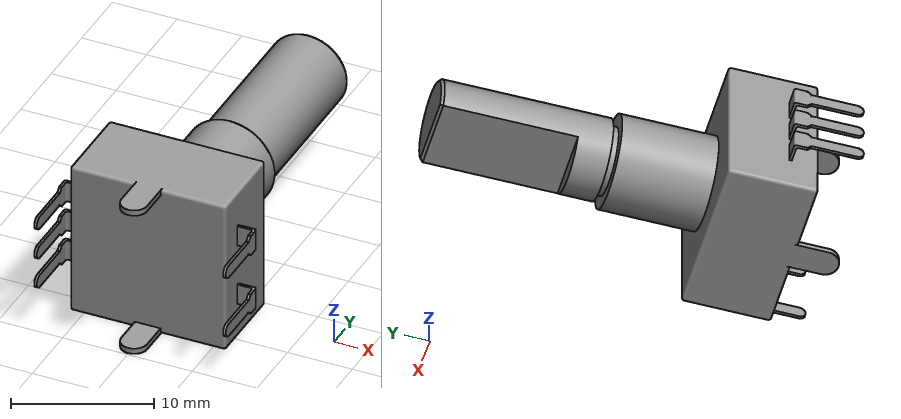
import cadquery as cq


TOTAL_LENGTH = 29.7

CASE_SIDE = 12.0
CASE_DEPTH = 6.5
CASE_EDGE_RADIUS = 0.25
BUSHING_DIAMETER = 6.9
BUSHING_LENGTH = 7.0

TAB_LENGTH = 3.2
TAB_WIDTH = 2.0
TAB_THICKNESS = 0.45

TERMINAL_SPAN = 14.8
TERMINAL_SHEET = 0.2
TERMINAL_INNER_RADIUS = 0.15
TERMINAL_OUTER_RADIUS = 0.15
TERMINAL_PITCH = 2.45
TERMINAL_TOP = 2.15
TERMINAL_TIP = -2.9
TERMINAL_HEAD_WIDTH = 1.6
TERMINAL_HEAD_LENGTH = 0.95
TERMINAL_LEG_WIDTH = 1.0

SHAFT_DIAMETER = 6.0
SHAFT_CHAMFER = 0.2
NECK_DIAMETER = 5.0
NECK_LENGTH = 0.5
FLAT_LENGTH = 10.0
FLAT_THICKNESS = 4.5

bushing_end = CASE_DEPTH + BUSHING_LENGTH
neck_end = bushing_end + NECK_LENGTH
shaft_end = TOTAL_LENGTH - TAB_LENGTH


def cylinder_along_y(diameter, start, end):
    """Round bar on the Y axis between two Y positions."""
    return cq.Workplane("XZ", origin=(0, start, 0)).circle(diameter / 2).extrude(start - end)


def make_case():
    """Square case with rounded edges."""
    case = cq.Workplane("XY").box(CASE_SIDE, CASE_DEPTH, CASE_SIDE, centered=(True, False, True))
    return case.edges().fillet(CASE_EDGE_RADIUS)


def make_tab(bottom):
    """Flat tab with a full-round tip, running from inside the case to beyond its mounting face."""
    round_start = TAB_WIDTH / 2 - TAB_LENGTH
    return (
        cq.Workplane("XY", origin=(0, 0, bottom))
        .moveTo(-TAB_WIDTH / 2, CASE_EDGE_RADIUS)
        .lineTo(-TAB_WIDTH / 2, round_start)
        .threePointArc((0, -TAB_LENGTH), (TAB_WIDTH / 2, round_start))
        .lineTo(TAB_WIDTH / 2, CASE_EDGE_RADIUS)
        .close()
        .extrude(TAB_THICKNESS)
    )


def make_terminal(side, height):
    """Terminal bent from sheet, leaving the case on the +X (side 1) or -X (side -1) wall."""
    outer = TERMINAL_SPAN / 2
    inner = outer - TERMINAL_SHEET
    wall = CASE_SIDE / 2
    arm_bottom = TERMINAL_TOP - TERMINAL_SHEET
    bent_strip = (
        cq.Workplane("XY")
        .moveTo(side * wall, TERMINAL_TOP)
        .lineTo(side * (outer - TERMINAL_OUTER_RADIUS), TERMINAL_TOP)
        .radiusArc((side * outer, TERMINAL_TOP - TERMINAL_OUTER_RADIUS), side * TERMINAL_OUTER_RADIUS)
        .lineTo(side * outer, TERMINAL_TIP)
        .lineTo(side * inner, TERMINAL_TIP)
        .lineTo(side * inner, arm_bottom - TERMINAL_INNER_RADIUS)
        .radiusArc((side * (inner - TERMINAL_INNER_RADIUS), arm_bottom), -side * TERMINAL_INNER_RADIUS)
        .lineTo(side * wall, arm_bottom)
        .close()
        .extrude(TERMINAL_HEAD_WIDTH / 2, both=True)
    )

    half_head = TERMINAL_HEAD_WIDTH / 2
    half_leg = TERMINAL_LEG_WIDTH / 2
    head_end = TERMINAL_TOP - TERMINAL_HEAD_LENGTH
    leg_start = head_end - (half_head - half_leg)
    round_start = TERMINAL_TIP + half_leg
    blade_outline = (
        cq.Workplane("YZ")
        .moveTo(TERMINAL_TOP, -half_head)
        .lineTo(head_end, -half_head)
        .lineTo(leg_start, -half_leg)
        .lineTo(round_start, -half_leg)
        .threePointArc((TERMINAL_TIP, 0), (round_start, half_leg))
        .lineTo(leg_start, half_leg)
        .lineTo(head_end, half_head)
        .lineTo(TERMINAL_TOP, half_head)
        .close()
        .extrude(outer, both=True)
    )
    return bent_strip.intersect(blade_outline).translate((0, 0, height))


def make_housing():
    """Case with its bushing, two mounting tabs and five terminals."""
    housing = make_case().union(cylinder_along_y(BUSHING_DIAMETER, CASE_DEPTH, bushing_end))
    for bottom in (-CASE_SIDE / 2, CASE_SIDE / 2 - TAB_THICKNESS):
        housing = housing.union(make_tab(bottom))
    for height in (-TERMINAL_PITCH, 0, TERMINAL_PITCH):
        housing = housing.union(make_terminal(-1, height))
    for height in (-TERMINAL_PITCH, TERMINAL_PITCH):
        housing = housing.union(make_terminal(1, height))
    return housing


def make_shaft():
    """Round shaft with a neck against the bushing and a flat on its -Z side at the free end."""
    bar = cylinder_along_y(SHAFT_DIAMETER, neck_end, shaft_end)
    flat_height = SHAFT_DIAMETER / 2 - FLAT_THICKNESS
    flat_cut = (
        cq.Workplane("XY", origin=(0, shaft_end, flat_height))
        .rect(SHAFT_DIAMETER, 2 * FLAT_LENGTH)
        .extrude(-SHAFT_DIAMETER)
    )
    bar = bar.cut(flat_cut).faces(">Y").chamfer(SHAFT_CHAMFER)
    return bar.union(cylinder_along_y(NECK_DIAMETER, bushing_end, neck_end))


housing = make_housing()
shaft = make_shaft()

result = cq.Compound.makeCompound([housing.val(), shaft.val()])